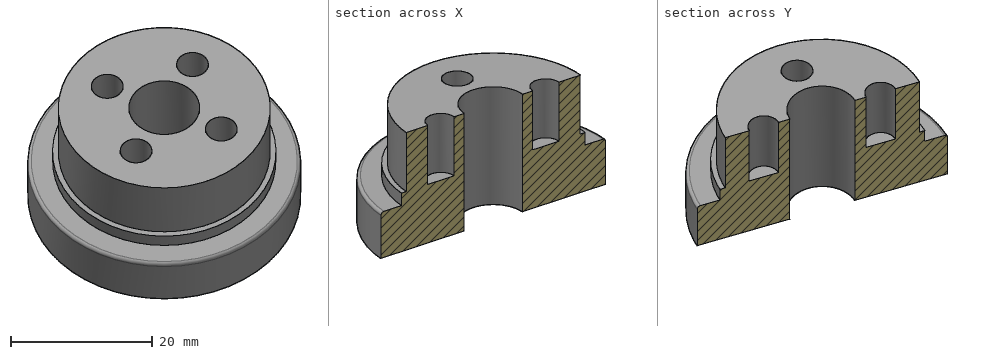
import cadquery as cq

base_diameter = 38.65
base_height = 7.5
base_edge_radius = 0.5
shoulder_diameter = 31.6
shoulder_height = 2.0
boss_diameter = 30.0
total_height = 19.0
boss_height = total_height - base_height - shoulder_height

bore_diameter = 10.0
pin_hole_diameter = 4.5
pin_hole_count = 4
pin_circle_radius = 9.0
pin_hole_depth = boss_height


def stepped_body():
    """Base disc with a rounded top rim, then the shoulder and the boss."""
    base = cq.Workplane("XY").circle(base_diameter / 2).extrude(base_height)
    base = base.faces(">Z").edges().fillet(base_edge_radius)
    shoulder = base.faces(">Z").workplane().circle(shoulder_diameter / 2).extrude(shoulder_height)
    return shoulder.faces(">Z").workplane().circle(boss_diameter / 2).extrude(boss_height)


def central_bore():
    """Cylinder that removes the bore through the full height."""
    return cq.Workplane("XY").circle(bore_diameter / 2).extrude(total_height)


def pin_holes():
    """Ring of cylinders that remove the blind holes in the boss face."""
    return (
        cq.Workplane("XY", origin=(0, 0, total_height))
        .polarArray(pin_circle_radius, 0, 360, pin_hole_count)
        .circle(pin_hole_diameter / 2)
        .extrude(-pin_hole_depth)
    )


result = stepped_body().cut(central_bore()).cut(pin_holes())